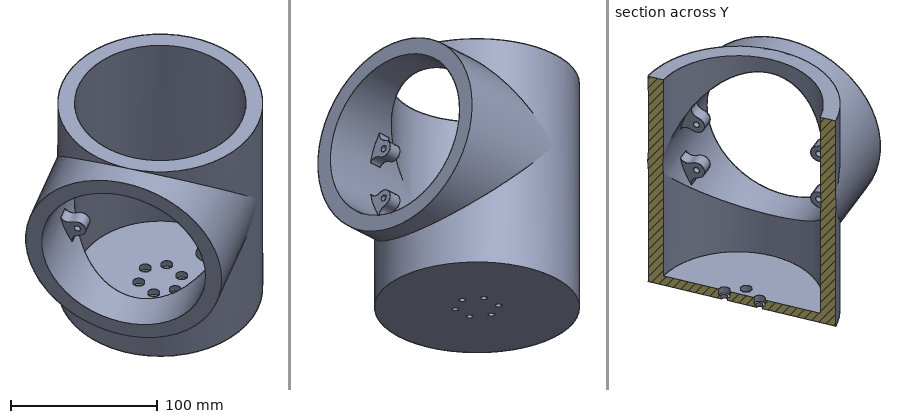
import math

import cadquery as cq

OUTER_RADIUS = 70.0
BORE_RADIUS = 58.5
TUBE_HEIGHT = 170.0
BRANCH_REACH = 85.0
BRANCH_Z = TUBE_HEIGHT - OUTER_RADIUS
FLOOR_THICKNESS = 8.0

FLOOR_HOLE_COUNT = 6
FLOOR_HOLE_CIRCLE_RADIUS = 15.0
FLOOR_HOLE_FIRST_ANGLE = 30.0
FLOOR_HOLE_DIAMETER = 4.5
COUNTERBORE_DIAMETER = 8.0
COUNTERBORE_DEPTH = 5.0

LUG_CIRCLE_RADIUS = 49.0
LUG_ANGLE = 22.5
LUG_RADIUS = 6.0
LUG_FILLET_RADIUS = 6.0
LUG_ROOT_RADIUS = 59.0
LUG_HOLE_DIAMETER = 4.4
LUG_INNER_Y = -35.0
LUG_LENGTH = 10.0


def branch_cylinder(radius):
    """Cylinder from the tube axis to the branch end face."""
    return (
        cq.Workplane("XZ")
        .center(0, BRANCH_Z)
        .circle(radius)
        .extrude(BRANCH_REACH)
    )


def make_body():
    """Closed-bottom tube with an open side branch."""
    outside = (
        cq.Workplane("XY")
        .transformed(rotate=(0, 0, 90))
        .circle(OUTER_RADIUS)
        .extrude(TUBE_HEIGHT)
    )
    outside = outside.union(branch_cylinder(OUTER_RADIUS))
    tube_bore = (
        cq.Workplane("XY")
        .workplane(offset=FLOOR_THICKNESS)
        .circle(BORE_RADIUS)
        .extrude(TUBE_HEIGHT - FLOOR_THICKNESS)
    )
    return outside.cut(tube_bore).cut(branch_cylinder(BORE_RADIUS))


def cut_floor_holes(body):
    """Ring of counterbored holes, opened from inside the tube."""
    return (
        body.copyWorkplane(cq.Workplane("XY", origin=(0, 0, FLOOR_THICKNESS)))
        .polarArray(FLOOR_HOLE_CIRCLE_RADIUS, FLOOR_HOLE_FIRST_ANGLE, 360, FLOOR_HOLE_COUNT)
        .cboreHole(FLOOR_HOLE_DIAMETER, COUNTERBORE_DIAMETER, COUNTERBORE_DEPTH)
    )


def make_lug():
    """Lug on the +X side of the branch bore: round nose, straight flanks, fillets onto the wall."""
    fillet_z = LUG_RADIUS + LUG_FILLET_RADIUS
    fillet_x = math.sqrt((LUG_ROOT_RADIUS - LUG_FILLET_RADIUS) ** 2 - fillet_z**2)
    wall_angle = math.atan2(fillet_z, fillet_x)
    wall_x = LUG_ROOT_RADIUS * math.cos(wall_angle)
    wall_z = LUG_ROOT_RADIUS * math.sin(wall_angle)
    middle_angle = (wall_angle - math.pi / 2) / 2
    middle_x = fillet_x + LUG_FILLET_RADIUS * math.cos(middle_angle)
    middle_z = fillet_z + LUG_FILLET_RADIUS * math.sin(middle_angle)
    root_x = (BORE_RADIUS + OUTER_RADIUS) / 2
    lug = (
        cq.Workplane("XZ", origin=(0, LUG_INNER_Y, 0))
        .moveTo(wall_x, -wall_z)
        .threePointArc((middle_x, -middle_z), (fillet_x, -LUG_RADIUS))
        .lineTo(LUG_CIRCLE_RADIUS, -LUG_RADIUS)
        .threePointArc((LUG_CIRCLE_RADIUS - LUG_RADIUS, 0), (LUG_CIRCLE_RADIUS, LUG_RADIUS))
        .lineTo(fillet_x, LUG_RADIUS)
        .threePointArc((middle_x, middle_z), (wall_x, wall_z))
        .lineTo(root_x, wall_z)
        .lineTo(root_x, -wall_z)
        .close()
        .extrude(LUG_LENGTH)
    )
    hole = (
        cq.Workplane("XZ", origin=(LUG_CIRCLE_RADIUS, LUG_INNER_Y, 0))
        .circle(LUG_HOLE_DIAMETER / 2)
        .extrude(LUG_LENGTH)
    )
    return lug.cut(hole)


def add_lugs(body):
    """Four lugs, mirrored about the horizontal and vertical planes of the branch."""
    lug = make_lug()
    for angle in (LUG_ANGLE, -LUG_ANGLE, 180 - LUG_ANGLE, 180 + LUG_ANGLE):
        placed = lug.rotate((0, 0, 0), (0, 1, 0), angle).translate((0, 0, BRANCH_Z))
        body = body.union(placed)
    return body


result = add_lugs(cut_floor_holes(make_body()))